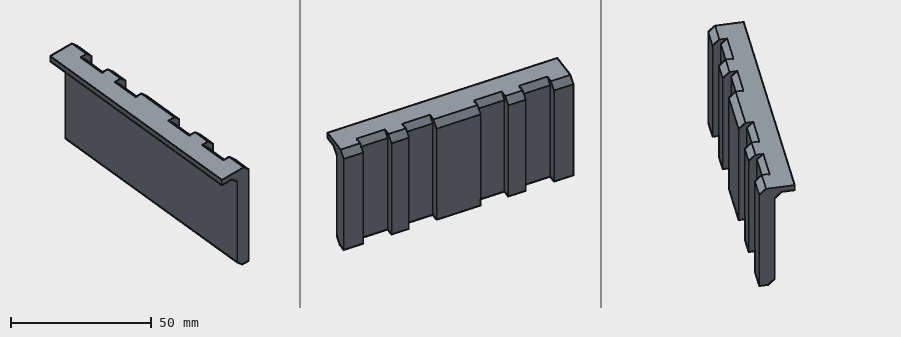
import cadquery as cq

length = 91.5
depth = 12.9
height = 45.0

plate_thickness = 5.7
ledge_thickness = 2.5
bevel = 2.5
ledge_reach = depth - plate_thickness

notch_depth = 3.0
notch_bevel = 2.3
outer_notch_start = 7.8
outer_notch_end = 19.0
inner_notch_start = 26.0
inner_notch_end = 37.0


def extrude_along_x(points, start, end):
    """Extrude a closed (Y, Z) outline between two X positions."""
    return cq.Workplane("YZ", origin=(start, 0, 0)).polyline(points).close().extrude(end - start)


def make_body():
    """Upright plate with a ledge along its top front edge."""
    outline = [
        (bevel, 0),
        (plate_thickness, 0),
        (plate_thickness, height - bevel),
        (plate_thickness - bevel, height),
        (-ledge_reach, height),
        (-ledge_reach, height - ledge_thickness),
        (-bevel, height - ledge_thickness),
        (0, height - ledge_thickness - bevel),
        (0, bevel),
    ]
    return extrude_along_x(outline, 0, length)


def make_notch(start, end):
    """Full-height cutter whose floor is bevelled at the top edge."""
    floor = plate_thickness - notch_depth
    outline = [
        (floor, 0),
        (plate_thickness, 0),
        (plate_thickness, height),
        (floor - notch_bevel, height),
        (floor, height - notch_bevel),
    ]
    return extrude_along_x(outline, start, end)


result = make_body()
for start, end in [
    (outer_notch_start, outer_notch_end),
    (inner_notch_start, inner_notch_end),
]:
    result = result.cut(make_notch(start, end))
    result = result.cut(make_notch(length - end, length - start))